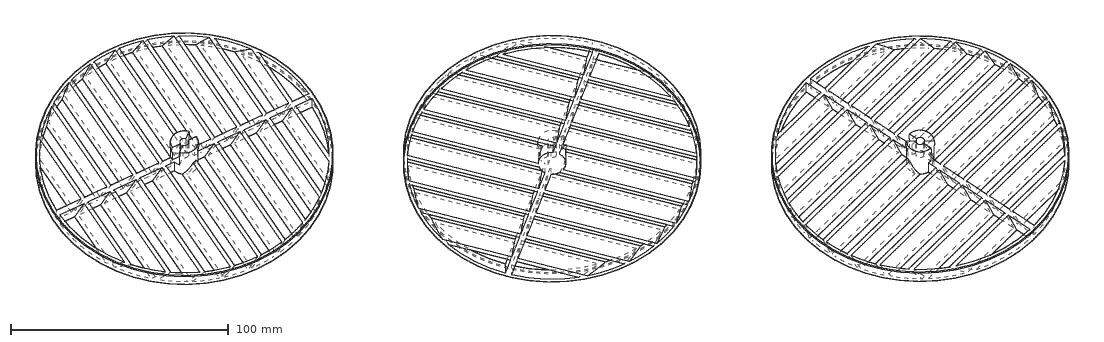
import cadquery as cq
import math

outer_radius = 68.5
rim_wall = 1.9
rim_height = 7.1
rim_chamfer = 0.4
inner_radius = outer_radius - rim_wall

slat_count = 9
slat_pitch = 13.7
slat_thickness = 2.0
slat_lean = 5.1
slat_top_edge = 3.2

spine_width = 3.0

pin_radius = 6.3
pin_top = 17.0
bead_height = 4.2
bead_radius = 6.7
bore_radius = 2.0
first_gap_angle = 90.0
gap_angle = 40.0
gap_count = 2


def make_rim():
    disc = cq.Workplane("XY").circle(outer_radius).extrude(rim_height)
    disc = disc.edges().chamfer(rim_chamfer)
    return disc.cut(cq.Workplane("XY").circle(inner_radius).extrude(rim_height))


def make_slat(y_shift):
    top_back = slat_top_edge + y_shift
    top_front = top_back - slat_thickness
    return (
        cq.Workplane("YZ", origin=(-outer_radius, 0, 0))
        .moveTo(top_back, rim_height)
        .lineTo(top_front, rim_height)
        .lineTo(top_front - slat_lean, 0)
        .lineTo(top_back - slat_lean, 0)
        .close()
        .extrude(2 * outer_radius)
    )


def make_grille():
    grille = cq.Workplane("XY").box(
        spine_width, 2 * outer_radius, rim_height, centered=(True, True, False)
    )
    middle = (slat_count - 1) / 2
    for index in range(slat_count):
        grille = grille.union(make_slat((index - middle) * slat_pitch))
    trim_radius = outer_radius - rim_wall / 2
    return grille.intersect(cq.Workplane("XY").circle(trim_radius).extrude(rim_height))


def make_gap(start_angle):
    reach = 2 * pin_radius
    start = math.radians(start_angle)
    end = math.radians(start_angle + gap_angle)
    return (
        cq.Workplane("XY", origin=(0, 0, rim_height))
        .moveTo(0, 0)
        .lineTo(reach * math.cos(start), reach * math.sin(start))
        .lineTo(reach * math.cos(end), reach * math.sin(end))
        .close()
        .extrude(pin_top - rim_height)
    )


def make_pin():
    bead_bottom = pin_top - bead_height
    pin = (
        cq.Workplane("XZ")
        .lineTo(pin_radius, 0)
        .lineTo(pin_radius, bead_bottom)
        .threePointArc(
            (bead_radius, bead_bottom + bead_height / 2),
            (pin_radius, pin_top),
        )
        .lineTo(0, pin_top)
        .close()
        .revolve(360, (0, 0, 0), (0, 1, 0))
    )
    bore = cq.Workplane("XY", origin=(0, 0, rim_height)).circle(bore_radius)
    pin = pin.cut(bore.extrude(pin_top - rim_height))
    for index in range(gap_count):
        pin = pin.cut(make_gap(first_gap_angle + index * 360 / gap_count))
    return pin


result = make_rim().union(make_grille()).union(make_pin())